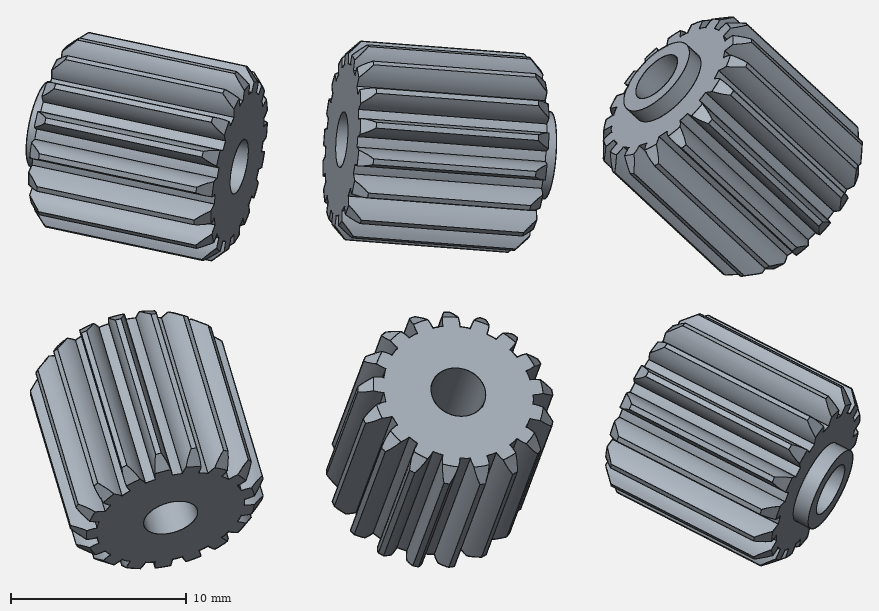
import cadquery as cq
import math

TOTAL_LENGTH = 12.0
HUB_LENGTH = 1.0
HUB_DIAMETER = 5.0
BORE_DIAMETER = 3.18
CHAMFER = 0.75

TOOTH_COUNT = 17
MODULE = 0.6
DEDENDUM_FACTOR = 1.25
ROOT_HALF_WIDTH = 0.5
PITCH_HALF_WIDTH = 0.42
TIP_HALF_WIDTH = 0.17
FIRST_TOOTH_ANGLE = math.pi

PITCH_RADIUS = MODULE * TOOTH_COUNT / 2
TIP_RADIUS = PITCH_RADIUS + MODULE
ROOT_RADIUS = PITCH_RADIUS - DEDENDUM_FACTOR * MODULE
TOOTH_PITCH = 2 * math.pi / TOOTH_COUNT

HUB_END = -TOTAL_LENGTH / 2
GEAR_START = HUB_END + HUB_LENGTH
GEAR_END = TOTAL_LENGTH / 2
GEAR_LENGTH = GEAR_END - GEAR_START


def polar(radius, angle):
    return (radius * math.cos(angle), radius * math.sin(angle))


def flank_points(centre_angle, side):
    """Root, pitch and tip points on one flank; side is -1 or 1."""
    stations = [
        (ROOT_RADIUS, ROOT_HALF_WIDTH),
        (PITCH_RADIUS, PITCH_HALF_WIDTH),
        (TIP_RADIUS, TIP_HALF_WIDTH),
    ]
    return [polar(r, centre_angle + side * math.asin(half / r)) for r, half in stations]


def gear_outline():
    """Closed outline of teeth with arc flanks, joined by arcs at tip and root."""
    outline = cq.Workplane("YZ").workplane(offset=GEAR_START)
    outline = outline.moveTo(*flank_points(FIRST_TOOTH_ANGLE, -1)[0])
    for tooth in range(TOOTH_COUNT):
        centre = FIRST_TOOTH_ANGLE + tooth * TOOTH_PITCH
        _, rise_middle, rise_tip = flank_points(centre, -1)
        fall_root, fall_middle, fall_tip = flank_points(centre, 1)
        next_root = flank_points(centre + TOOTH_PITCH, -1)[0]
        outline = (
            outline.threePointArc(rise_middle, rise_tip)
            .threePointArc(polar(TIP_RADIUS, centre), fall_tip)
            .threePointArc(fall_middle, fall_root)
            .threePointArc(polar(ROOT_RADIUS, centre + TOOTH_PITCH / 2), next_root)
        )
    return outline.close()


def chamfered_blank():
    """Round blank, slightly oversized so that only its end cones cut the teeth."""
    clearance = 0.12
    blank = cq.Workplane("YZ").workplane(offset=GEAR_START).circle(TIP_RADIUS + clearance)
    return blank.extrude(GEAR_LENGTH).edges().chamfer(CHAMFER + clearance)


def cylinder(diameter, length):
    """Round bar starting at the free end of the hub."""
    return cq.Workplane("YZ").workplane(offset=HUB_END).circle(diameter / 2).extrude(length)


gear = gear_outline().extrude(GEAR_LENGTH).intersect(chamfered_blank())
hub = cylinder(HUB_DIAMETER, HUB_LENGTH)
bore = cylinder(BORE_DIAMETER, TOTAL_LENGTH)
result = gear.union(hub).cut(bore)